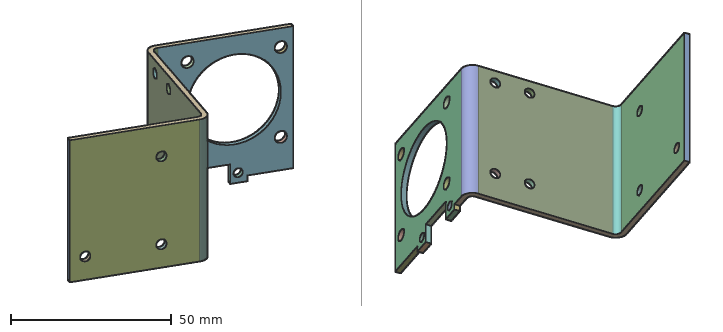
import cadquery as cq

length = 94.0
width = 55.0
overall_height = 51.0
thickness = 2.0
inner_radius = 2.0
outer_radius = inner_radius + thickness
tab_drop = 2.0
plate_height = overall_height - tab_drop
motor_flange_length = 49.0
web_front = length - motor_flange_length
web_back = web_front + thickness

motor_inset = 19.6
motor_height = 27.0
motor_bore = 31.0
motor_hole_spacing = 31.0
motor_hole_diameter = 4.0
tab_outer_start = 15.2
notch_start = 21.0
notch_end = 34.5
tab_outer_end = 40.5
notch_top = 4.8
tab_hole_insets = (18.3, 37.3)
tab_hole_height = 1.5
tab_hole_diameter = 3.0

small_hole_diameter = 3.4
web_hole_xs = (10.0, 22.0)
web_hole_heights = (9.7, 44.5)
mount_holes = ((5.2, 8.1), (30.5, 8.1), (30.5, 38.4))


def bent_sheet():
    """Extrude the Z-shaped profile and round both sides of each bend."""
    profile = [
        (0, length),
        (0, web_front),
        (width - thickness, web_front),
        (width - thickness, 0),
        (width, 0),
        (width, web_back),
        (thickness, web_back),
        (thickness, length),
    ]
    sheet = cq.Workplane("XY").polyline(profile).close().extrude(plate_height)
    outer_corners = [(0, web_front), (width, web_back)]
    inner_corners = [(thickness, web_back), (width - thickness, web_front)]
    for corners, radius in ((outer_corners, outer_radius), (inner_corners, inner_radius)):
        for corner in corners:
            edge = cq.selectors.NearestToPointSelector((*corner, plate_height / 2))
            sheet = sheet.edges("|Z").edges(edge).fillet(radius)
    return sheet


def flange_block(x, inset_start, inset_end, bottom, top):
    """Block one sheet thick, spanning two distances from the +Y end."""
    size_y = inset_end - inset_start
    block = cq.Workplane("XY").box(thickness, size_y, top - bottom, centered=False)
    return block.translate((x, length - inset_end, bottom))


def flange_holes(x, points, diameter):
    """Cylinders through a flange whose -X face is at x, at (Y, Z) points."""
    plane = cq.Workplane("YZ", origin=(x, 0, 0))
    return plane.pushPoints(points).circle(diameter / 2).extrude(thickness)


result = bent_sheet()
result = result.union(flange_block(0, tab_outer_start, tab_outer_end, -tab_drop, notch_top))
result = result.cut(flange_block(0, notch_start, notch_end, -tab_drop, notch_top))
tab_holes = [(length - inset, tab_hole_height) for inset in tab_hole_insets]
result = result.cut(flange_holes(0, tab_holes, tab_hole_diameter))

motor_y = length - motor_inset
half_spacing = motor_hole_spacing / 2
motor_holes = [
    (motor_y + side * half_spacing, motor_height + level * half_spacing)
    for side in (-1, 1)
    for level in (-1, 1)
]
result = result.cut(flange_holes(0, [(motor_y, motor_height)], motor_bore))
result = result.cut(flange_holes(0, motor_holes, motor_hole_diameter))

web_holes = [(x, z) for x in web_hole_xs for z in web_hole_heights]
web_plane = cq.Workplane("XZ", origin=(0, web_back, 0))
web_cutter = web_plane.pushPoints(web_holes).circle(small_hole_diameter / 2).extrude(thickness)
result = result.cut(web_cutter)

result = result.cut(flange_holes(width - thickness, mount_holes, small_hole_diameter))